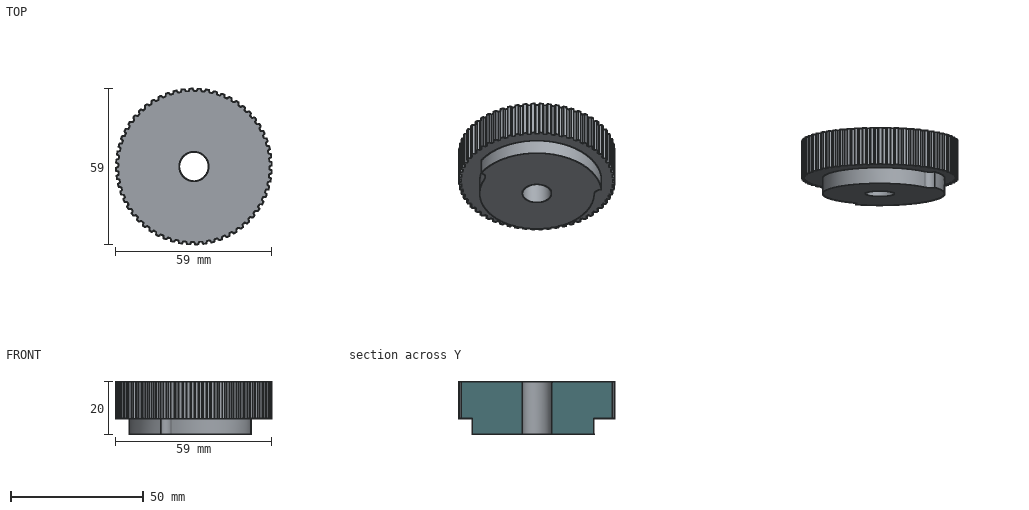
import cadquery as cq
import math

tooth_count = 60
tip_radius = 29.5
groove_depth = 0.9
groove_tip_width = 1.9
groove_angle = 50.0
first_groove_angle = -0.96
wheel_height = 14.0

hub_height = 6.0
lobe_radius = 24.5
base_radius = 21.65
lobe_end_angle = 239.4
lobe_span = 144.0
step_fillet_radius = 2.8

bore_diameter = 11.0


def polar(radius, angle):
    """Point at a radius and an angle in degrees from +X."""
    direction = math.radians(angle)
    return (radius * math.cos(direction), radius * math.sin(direction))


def make_wheel():
    """Disc with straight-flanked grooves all around its rim."""
    disc = cq.Workplane("XY").circle(tip_radius).extrude(wheel_height)

    flank_slope = math.tan(math.radians(groove_angle / 2))
    root_radius = tip_radius - groove_depth
    overshoot = groove_depth
    root_half_width = groove_tip_width / 2 - groove_depth * flank_slope
    outer_half_width = groove_tip_width / 2 + overshoot * flank_slope
    groove = (
        cq.Workplane("XY")
        .polyline([
            (root_radius, -root_half_width),
            (tip_radius + overshoot, -outer_half_width),
            (tip_radius + overshoot, outer_half_width),
            (root_radius, root_half_width),
        ])
        .close()
        .extrude(wheel_height)
        .val()
    )

    tooth_pitch = 360.0 / tooth_count
    grooves = []
    for index in range(tooth_count):
        angle = first_groove_angle + index * tooth_pitch
        grooves.append(groove.rotate((0, 0, 0), (0, 0, 1), angle))
    return disc.cut(cq.Workplane(cq.Compound.makeCompound(grooves)))


def make_cam_hub():
    """Two-radius cam with radial steps that blend concavely into the base circle."""
    lobe_start_angle = lobe_end_angle - lobe_span
    lobe_middle_angle = lobe_end_angle - lobe_span / 2

    fillet_centre_radius = base_radius + step_fillet_radius
    fillet_sweep = math.degrees(math.asin(step_fillet_radius / fillet_centre_radius))
    step_foot_radius = math.sqrt(fillet_centre_radius**2 - step_fillet_radius**2)

    def fillet_middle(step_angle, side):
        """Point halfway along a fillet lying on one side (+1 or -1) of a step."""
        centre = polar(fillet_centre_radius, step_angle + side * fillet_sweep)
        towards_step = step_angle - side * 90
        towards_axis = step_angle + side * (fillet_sweep - 180)
        middle_direction = (towards_step + towards_axis) / 2
        offset = polar(step_fillet_radius, middle_direction)
        return (centre[0] + offset[0], centre[1] + offset[1])

    outline = (
        cq.Workplane("XY")
        .moveTo(*polar(lobe_radius, lobe_start_angle))
        .threePointArc(polar(lobe_radius, lobe_middle_angle), polar(lobe_radius, lobe_end_angle))
        .lineTo(*polar(step_foot_radius, lobe_end_angle))
        .threePointArc(
            fillet_middle(lobe_end_angle, 1),
            polar(base_radius, lobe_end_angle + fillet_sweep),
        )
        .threePointArc(
            polar(base_radius, lobe_middle_angle + 180),
            polar(base_radius, lobe_start_angle - fillet_sweep),
        )
        .threePointArc(
            fillet_middle(lobe_start_angle, -1),
            polar(step_foot_radius, lobe_start_angle),
        )
        .close()
    )
    return outline.extrude(-hub_height)


bore = (
    cq.Workplane("XY")
    .workplane(offset=-hub_height)
    .circle(bore_diameter / 2)
    .extrude(hub_height + wheel_height)
)
result = make_wheel().union(make_cam_hub()).cut(bore)